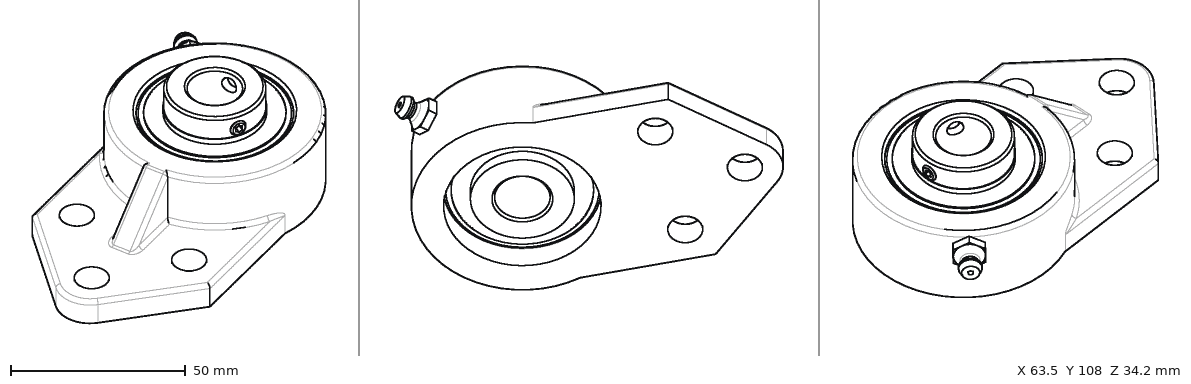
import cadquery as cq
import math

HOUSING_RADIUS = 63.5 / 2
HOUSING_HEIGHT = 25.4
HOUSING_LENGTH = 108.0
EDGE_ROUND = 1.3
FLANGE_HALF_WIDTH = 30.15
FLANGE_THICKNESS = 8.1
FLANGE_CORNER_Y = -49.75
TIP_RADIUS = 10.0
TIP_CENTRE_Y = HOUSING_RADIUS - HOUSING_LENGTH + TIP_RADIUS
BOLT_HOLE_DIAMETER = 10.0
BOLT_HOLES = [(-19.05, -43.4), (19.05, -43.4), (0, -65.3)]
RIB_WIDTH = 8.2
RIB_TOE_Y = -49.9
RIB_BACK_Y = -24.7
SELECT_MARGIN = 0.1

BEARING_CENTRE_Z = 15.9
SEAT_RADIUS = 24.05
SEAT_EDGE_RADIUS = 22.5
MOUTH_RADIUS = 46.8 / 2
MOUTH_CHAMFER_DEPTH = 0.9
OUTER_RING_HALF_WIDTH = 8.5
OUTER_RING_FACE_RADIUS = 21.95
OUTER_RING_CHAMFER_DEPTH = 0.4
SEAL_OUTER_RADIUS = 40.79 / 2
SEAL_THICKNESS = 2.0
SEAL_PROUD = 0.5

INNER_RING_TOP_Z = 34.2
INNER_RING_LENGTH = 31.0
INNER_RING_BOTTOM_Z = INNER_RING_TOP_Z - INNER_RING_LENGTH
RACE_RADIUS = 29.72 / 2
RACE_TOP_Z = 26.7
COLLAR_RADIUS = 29.21 / 2
SHAFT_RADIUS = 15.88 / 2
COLLAR_CHAMFER = 0.8
SHAFT_CHAMFER = 0.75

SCREW_RADIUS = 4.92 / 2
SCREW_Z = 29.35
SCREW_ANGLES = [-30, 90]
SCREW_OUTER_END = 15.1
SCREW_LENGTH = 5.0
SCREW_CHAMFER = 0.5
SOCKET_ACROSS_CORNERS = 2.4
SOCKET_DEPTH = 2.0

FITTING_ANGLE = 135
FITTING_Z = 19.05
STEM_RADIUS = 6.0 / 2
STEM_DEPTH = 6.0
HEX_ACROSS_FLATS = 9.2
HEX_END = 34.4
SHOULDER_RADIUS = 2.9
SHOULDER_END = 36.2
NECK_RADIUS = 4.92 / 2
NECK_START = 37.1
NECK_END = 37.8
HEAD_RADIUS = 3.4
HEAD_START = 38.8
HEAD_TAPER_START = 39.5
TIP_FACE_RADIUS = 2.6
TIP_END = 41.35
GREASE_HOLE_DIAMETER = 1.5
GREASE_HOLE_DEPTH = 3.0


def revolve_about_z(outline):
    """Turn a closed (radius, z) outline about the bore axis."""
    return cq.Workplane("XZ").polyline(outline).close().revolve(360, (0, 0), (0, 1))


def radial_plane(angle, distance, z):
    """Plane facing outward at a distance from the bore axis, with its x direction along Z."""
    turn = math.radians(angle)
    outward = (math.cos(turn), math.sin(turn), 0)
    origin = (distance * outward[0], distance * outward[1], z)
    return cq.Plane(origin=origin, xDir=(0, 0, 1), normal=outward)


def make_flange():
    drop = FLANGE_CORNER_Y - TIP_CENTRE_Y
    reach = math.hypot(FLANGE_HALF_WIDTH, drop)
    slant = math.atan2(drop, FLANGE_HALF_WIDTH) + math.asin(TIP_RADIUS / reach)
    tangent_x = TIP_RADIUS * math.sin(slant)
    tangent_y = TIP_CENTRE_Y - TIP_RADIUS * math.cos(slant)
    return (
        cq.Workplane("XY")
        .moveTo(-FLANGE_HALF_WIDTH, 0)
        .lineTo(-FLANGE_HALF_WIDTH, FLANGE_CORNER_Y)
        .lineTo(-tangent_x, tangent_y)
        .threePointArc((0, TIP_CENTRE_Y - TIP_RADIUS), (tangent_x, tangent_y))
        .lineTo(FLANGE_HALF_WIDTH, FLANGE_CORNER_Y)
        .lineTo(FLANGE_HALF_WIDTH, 0)
        .close()
        .extrude(FLANGE_THICKNESS)
    )


def make_rib():
    rib = (
        cq.Workplane("YZ")
        .moveTo(RIB_BACK_Y, 0)
        .lineTo(RIB_TOE_Y, 0)
        .lineTo(RIB_TOE_Y, FLANGE_THICKNESS)
        .lineTo(-HOUSING_RADIUS, HOUSING_HEIGHT)
        .lineTo(RIB_BACK_Y, HOUSING_HEIGHT)
        .close()
        .extrude(RIB_WIDTH / 2, both=True)
    )
    upper_edges = cq.selectors.BoxSelector(
        (-RIB_WIDTH, RIB_TOE_Y, FLANGE_THICKNESS + SELECT_MARGIN),
        (RIB_WIDTH, RIB_BACK_Y - SELECT_MARGIN, HOUSING_HEIGHT + SELECT_MARGIN),
    )
    return rib.edges(upper_edges).fillet(EDGE_ROUND)


def make_bearing_bore():
    seat_edge = math.sqrt(SEAT_RADIUS**2 - SEAT_EDGE_RADIUS**2)
    return (
        cq.Workplane("XZ")
        .moveTo(0, 0)
        .lineTo(SEAT_EDGE_RADIUS, 0)
        .lineTo(SEAT_EDGE_RADIUS, BEARING_CENTRE_Z - seat_edge)
        .threePointArc((SEAT_RADIUS, BEARING_CENTRE_Z), (SEAT_EDGE_RADIUS, BEARING_CENTRE_Z + seat_edge))
        .lineTo(SEAT_EDGE_RADIUS, HOUSING_HEIGHT - MOUTH_CHAMFER_DEPTH)
        .lineTo(MOUTH_RADIUS, HOUSING_HEIGHT)
        .lineTo(0, HOUSING_HEIGHT)
        .close()
        .revolve(360, (0, 0), (0, 1))
    )


def make_housing():
    cup = cq.Workplane("XY").circle(HOUSING_RADIUS).extrude(HOUSING_HEIGHT)
    cup = cup.faces(">Z").edges().fillet(EDGE_ROUND)
    body = cup.union(make_flange()).union(make_rib())
    flange_top_edges = cq.selectors.BoxSelector(
        (-HOUSING_RADIUS, TIP_CENTRE_Y - 2 * TIP_RADIUS, FLANGE_THICKNESS - SELECT_MARGIN),
        (HOUSING_RADIUS, 0, FLANGE_THICKNESS + SELECT_MARGIN),
    )
    body = body.edges(flange_top_edges).fillet(EDGE_ROUND)
    body = body.cut(make_bearing_bore())
    holes = cq.Workplane("XY").pushPoints(BOLT_HOLES).circle(BOLT_HOLE_DIAMETER / 2)
    body = body.cut(holes.extrude(FLANGE_THICKNESS))
    stem_hole = cq.Workplane(radial_plane(FITTING_ANGLE, HOUSING_RADIUS - STEM_DEPTH, FITTING_Z))
    return body.cut(stem_hole.circle(STEM_RADIUS).extrude(STEM_DEPTH))


def make_outer_ring():
    bottom_z = BEARING_CENTRE_Z - OUTER_RING_HALF_WIDTH
    top_z = BEARING_CENTRE_Z + OUTER_RING_HALF_WIDTH
    seat_end = OUTER_RING_HALF_WIDTH - OUTER_RING_CHAMFER_DEPTH
    seat_end_radius = math.sqrt(SEAT_RADIUS**2 - seat_end**2)
    return (
        cq.Workplane("XZ")
        .moveTo(SEAL_OUTER_RADIUS, bottom_z)
        .lineTo(OUTER_RING_FACE_RADIUS, bottom_z)
        .lineTo(seat_end_radius, BEARING_CENTRE_Z - seat_end)
        .threePointArc((SEAT_RADIUS, BEARING_CENTRE_Z), (seat_end_radius, BEARING_CENTRE_Z + seat_end))
        .lineTo(OUTER_RING_FACE_RADIUS, top_z)
        .lineTo(SEAL_OUTER_RADIUS, top_z)
        .close()
        .revolve(360, (0, 0), (0, 1))
    )


def make_inner_ring():
    ring = revolve_about_z([
        (SHAFT_RADIUS, INNER_RING_BOTTOM_Z + SHAFT_CHAMFER),
        (SHAFT_RADIUS + SHAFT_CHAMFER, INNER_RING_BOTTOM_Z),
        (RACE_RADIUS, INNER_RING_BOTTOM_Z),
        (RACE_RADIUS, RACE_TOP_Z),
        (COLLAR_RADIUS, RACE_TOP_Z),
        (COLLAR_RADIUS, INNER_RING_TOP_Z - COLLAR_CHAMFER),
        (COLLAR_RADIUS - COLLAR_CHAMFER, INNER_RING_TOP_Z),
        (SHAFT_RADIUS + SHAFT_CHAMFER, INNER_RING_TOP_Z),
        (SHAFT_RADIUS, INNER_RING_TOP_Z - SHAFT_CHAMFER),
    ])
    for angle in SCREW_ANGLES:
        screw_hole = cq.Workplane(radial_plane(angle, 0, SCREW_Z)).circle(SCREW_RADIUS)
        ring = ring.cut(screw_hole.extrude(SCREW_OUTER_END))
    return ring


def make_seal(side):
    """Ring-shaped seal closing the bearing above (side = 1) or below (side = -1)."""
    face_z = BEARING_CENTRE_Z + side * (OUTER_RING_HALF_WIDTH + SEAL_PROUD)
    seal = cq.Workplane("XY").workplane(offset=face_z).circle(SEAL_OUTER_RADIUS).circle(RACE_RADIUS)
    return seal.extrude(-side * SEAL_THICKNESS)


def make_set_screw(angle):
    screw = (
        cq.Workplane(radial_plane(angle, SCREW_OUTER_END - SCREW_LENGTH, SCREW_Z))
        .circle(SCREW_RADIUS)
        .extrude(SCREW_LENGTH)
        .faces("%PLANE")
        .edges()
        .chamfer(SCREW_CHAMFER)
    )
    socket = cq.Workplane(radial_plane(angle, SCREW_OUTER_END - SOCKET_DEPTH, SCREW_Z))
    return screw.cut(socket.polygon(6, SOCKET_ACROSS_CORNERS).extrude(SOCKET_DEPTH))


def make_grease_fitting():
    hex_start = HOUSING_RADIUS
    turned = revolve_about_z([
        (0, hex_start - STEM_DEPTH),
        (STEM_RADIUS, hex_start - STEM_DEPTH),
        (STEM_RADIUS, HEX_END),
        (HEX_ACROSS_FLATS / 2, HEX_END),
        (SHOULDER_RADIUS, SHOULDER_END),
        (NECK_RADIUS, NECK_START),
        (NECK_RADIUS, NECK_END),
        (HEAD_RADIUS, HEAD_START),
        (HEAD_RADIUS, HEAD_TAPER_START),
        (TIP_FACE_RADIUS, TIP_END),
        (0, TIP_END),
    ])
    across_corners = HEX_ACROSS_FLATS / math.cos(math.pi / 6)
    hexagon = cq.Workplane("XY").workplane(offset=hex_start).polygon(6, across_corners)
    grease_hole = cq.Workplane("XY").workplane(offset=TIP_END).circle(GREASE_HOLE_DIAMETER / 2)
    fitting = turned.union(hexagon.extrude(HEX_END - hex_start)).cut(grease_hole.extrude(-GREASE_HOLE_DEPTH))
    return cq.Workplane(fitting.val().moved(cq.Location(radial_plane(FITTING_ANGLE, 0, FITTING_Z))))


housing = make_housing()
outer_ring = make_outer_ring()
inner_ring = make_inner_ring()
seals = [make_seal(side) for side in (-1, 1)]
set_screws = [make_set_screw(angle) for angle in SCREW_ANGLES]
grease_fitting = make_grease_fitting()

result = cq.Compound.makeCompound([
    housing.val(),
    outer_ring.val(),
    inner_ring.val(),
    *[seal.val() for seal in seals],
    *[screw.val() for screw in set_screws],
    grease_fitting.val(),
])